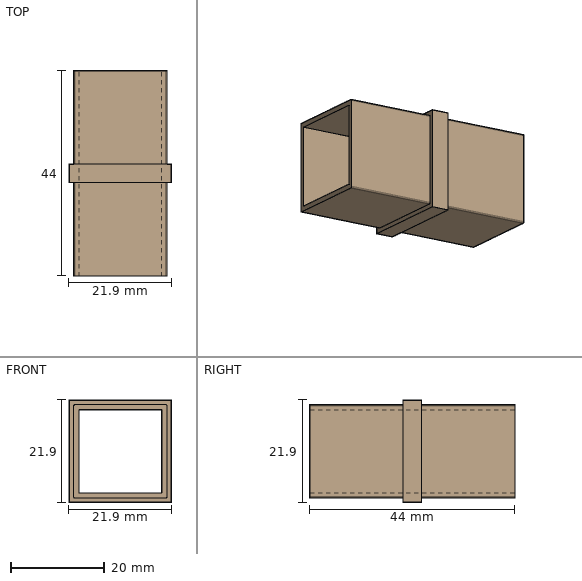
import cadquery as cq

length = 44.0
tube_side = 20.0
collar_side = 21.9
collar_length = 4.0
bore_width = 17.7
bore_height = 17.8
corner_radius = 0.3


def make_tube():
    """Solid square bar along Y with rounded long edges."""
    bar = cq.Workplane("XY").box(tube_side, length, tube_side)
    return bar.edges("|Y").fillet(corner_radius)


def make_collar():
    """Sharp-edged square stop around the middle of the tube."""
    return cq.Workplane("XY").box(collar_side, collar_length, collar_side)


def make_bore():
    """Rectangular opening running the full length of the tube."""
    return cq.Workplane("XY").box(bore_width, length, bore_height)


result = make_tube().union(make_collar()).cut(make_bore())